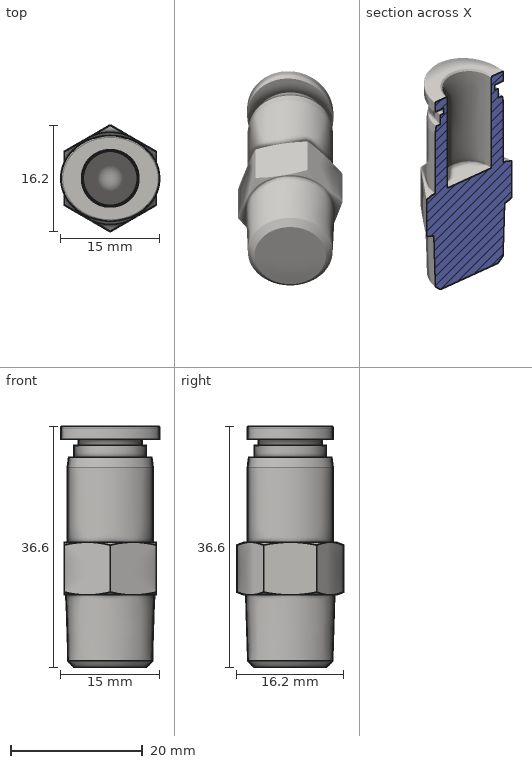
import cadquery as cq
import math

TOTAL_HEIGHT = 36.6
TIP_CHAMFER_HEIGHT = 1.0
HEX_BOTTOM = 11.0
HEX_HEIGHT = 8.0
HEX_TOP = HEX_BOTTOM + HEX_HEIGHT
FLANGE_THICKNESS = 2.0
NECK_HEIGHT = 0.9
COLLAR_HEIGHT = 1.8
SLEEVE_TAPER_HEIGHT = 1.5
FLANGE_BOTTOM = TOTAL_HEIGHT - FLANGE_THICKNESS
COLLAR_TOP = FLANGE_BOTTOM - NECK_HEIGHT
SLEEVE_TOP = COLLAR_TOP - COLLAR_HEIGHT
SLEEVE_TAPER_START = SLEEVE_TOP - SLEEVE_TAPER_HEIGHT

THREAD_TAPER = 1 / 16
THREAD_TOP_DIAMETER = 13.5
THREAD_LOW_DIAMETER = THREAD_TOP_DIAMETER - THREAD_TAPER * (HEX_BOTTOM - TIP_CHAMFER_HEIGHT)
TIP_DIAMETER = THREAD_LOW_DIAMETER - 2 * TIP_CHAMFER_HEIGHT

HEX_ACROSS_FLATS = 14.0
HEX_SIDES = 6
HEX_HALF_SECTOR = 180 / HEX_SIDES
HEX_ACROSS_CORNERS = HEX_ACROSS_FLATS / math.cos(math.radians(HEX_HALF_SECTOR))
HEX_CHAMFER_ANGLE = 22.0
CONE_OVERRUN = 1.0

SLEEVE_DIAMETER = 13.0
SLEEVE_TOP_DIAMETER = 12.6
COLLAR_DIAMETER = 11.0
NECK_DIAMETER = 9.7

FLANGE_LENGTH = 15.0
FLANGE_WIDTH = 13.0
FLANGE_FILLET = 0.25

BORE_DIAMETER = 8.2
BORE_CHAMFER = 0.25
BORE_FLOOR = HEX_TOP


def revolve_outline(points):
    """Turn a closed (radius, height) outline into a solid about the Z axis."""
    return cq.Workplane("YZ").polyline(points).close().revolve(360, (0, 0), (0, 1))


def make_turned_body():
    """Thread blank, sleeve, collar and neck as one turned shape."""
    return revolve_outline([
        (0, 0),
        (TIP_DIAMETER / 2, 0),
        (THREAD_LOW_DIAMETER / 2, TIP_CHAMFER_HEIGHT),
        (THREAD_TOP_DIAMETER / 2, HEX_BOTTOM),
        (SLEEVE_DIAMETER / 2, HEX_BOTTOM),
        (SLEEVE_DIAMETER / 2, SLEEVE_TAPER_START),
        (SLEEVE_TOP_DIAMETER / 2, SLEEVE_TOP),
        (COLLAR_DIAMETER / 2, SLEEVE_TOP),
        (COLLAR_DIAMETER / 2, COLLAR_TOP),
        (NECK_DIAMETER / 2, COLLAR_TOP),
        (NECK_DIAMETER / 2, FLANGE_BOTTOM),
        (0, FLANGE_BOTTOM),
    ])


def make_hexagon():
    """Hexagon whose corners are cut by a cone at both ends."""
    prism = (
        cq.Workplane("XY")
        .workplane(offset=HEX_BOTTOM)
        .polygon(HEX_SIDES, HEX_ACROSS_CORNERS)
        .extrude(HEX_HEIGHT)
        .rotate((0, 0, 0), (0, 0, 1), HEX_HALF_SECTOR)
    )
    face_radius = HEX_ACROSS_FLATS / 2
    rim_radius = HEX_ACROSS_CORNERS / 2 + CONE_OVERRUN
    cone_drop = (rim_radius - face_radius) * math.tan(math.radians(HEX_CHAMFER_ANGLE))
    double_cone = revolve_outline([
        (0, HEX_BOTTOM),
        (face_radius, HEX_BOTTOM),
        (rim_radius, HEX_BOTTOM + cone_drop),
        (rim_radius, HEX_TOP - cone_drop),
        (face_radius, HEX_TOP),
        (0, HEX_TOP),
    ])
    return prism.intersect(double_cone)


def make_flange():
    """Elliptical flange with a rounded upper rim."""
    return (
        cq.Workplane("XY")
        .workplane(offset=FLANGE_BOTTOM)
        .ellipse(FLANGE_LENGTH / 2, FLANGE_WIDTH / 2)
        .extrude(FLANGE_THICKNESS)
        .faces(">Z")
        .edges()
        .fillet(FLANGE_FILLET)
    )


def make_bore():
    """Cutter for the blind tube bore and its chamfered mouth."""
    bore_radius = BORE_DIAMETER / 2
    return revolve_outline([
        (0, BORE_FLOOR),
        (bore_radius, BORE_FLOOR),
        (bore_radius, TOTAL_HEIGHT - BORE_CHAMFER),
        (bore_radius + BORE_CHAMFER, TOTAL_HEIGHT),
        (0, TOTAL_HEIGHT),
    ])


result = make_turned_body().union(make_hexagon()).union(make_flange()).cut(make_bore())